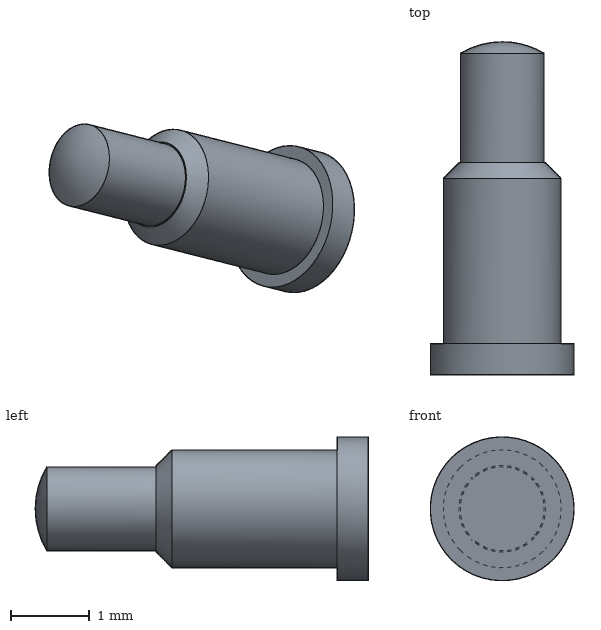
import cadquery as cq

flange_diameter = 1.83
barrel_diameter = 1.5
pin_diameter = 1.07

total_length = 4.24
flange_thickness = 0.4
barrel_end = 2.7
chamfer_size = 0.2
dome_height = 0.15

flange_radius = flange_diameter / 2
barrel_radius = barrel_diameter / 2
pin_radius = pin_diameter / 2
chamfer_start = barrel_end - chamfer_size
dome_start = total_length - dome_height

dome_radius = (pin_radius**2 + dome_height**2) / (2 * dome_height)
dome_center = total_length - dome_radius
dome_mid_radius = pin_radius / 2
dome_mid = (dome_mid_radius, dome_center + (dome_radius**2 - dome_mid_radius**2) ** 0.5)

profile = (
    cq.Workplane("XY")
    .moveTo(0, 0)
    .lineTo(flange_radius, 0)
    .lineTo(flange_radius, flange_thickness)
    .lineTo(barrel_radius, flange_thickness)
    .lineTo(barrel_radius, chamfer_start)
    .lineTo(barrel_radius - chamfer_size, barrel_end)
    .lineTo(pin_radius, barrel_end)
    .lineTo(pin_radius, dome_start)
    .threePointArc(dome_mid, (0, total_length))
    .close()
)

result = profile.revolve(360, (0, 0, 0), (0, 1, 0))